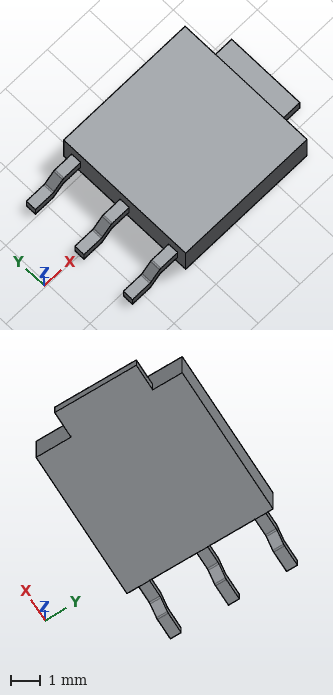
import cadquery as cq

total_length = 9.0
body_length = 5.8
body_width = 5.8
body_height = 1.5

tab_length = 1.04
tab_width = 3.24
tab_thickness = 0.5
tab_offset_y = 0.11

lead_count = 3
lead_pitch = 2.3
lead_width = 0.43
lead_thickness = 0.44
lead_rise = 0.44
foot_length = 0.86
bend_run = 0.46
bend_radius = 0.09

tip_x = -total_length / 2
tab_end_x = total_length / 2
body_end_x = tab_end_x - tab_length
body_start_x = body_end_x - body_length
foot_end_x = tip_x + foot_length
shoulder_x = foot_end_x + bend_run


def make_body():
    return cq.Workplane("XY").box(
        body_length, body_width, body_height, centered=(False, True, False)
    ).translate((body_start_x, 0, 0))


def make_tab():
    return cq.Workplane("XY").box(
        tab_length, tab_width, tab_thickness, centered=(False, True, False)
    ).translate((body_end_x, tab_offset_y, 0))


def make_lead(center_y):
    """Flat foot, sloped riser and raised shoulder that meets the body."""
    bottom = [(tip_x, 0), (foot_end_x, 0), (shoulder_x, lead_rise), (body_start_x, lead_rise)]
    top = [(x, z + lead_thickness) for x, z in reversed(bottom)]
    lead = (
        cq.Workplane("XZ")
        .polyline(bottom + top)
        .close()
        .extrude(lead_width / 2, both=True)
    )
    bend_edges = lead.edges("|Y").edges(
        cq.selectors.BoxSelector(
            (foot_end_x - bend_radius, -lead_width, -lead_thickness),
            (shoulder_x + bend_radius, lead_width, body_height),
        )
    )
    return bend_edges.fillet(bend_radius).translate((0, center_y, 0))


result = make_body().union(make_tab())
for index in range(lead_count):
    lead_y = (index - (lead_count - 1) / 2) * lead_pitch
    result = result.union(make_lead(lead_y))